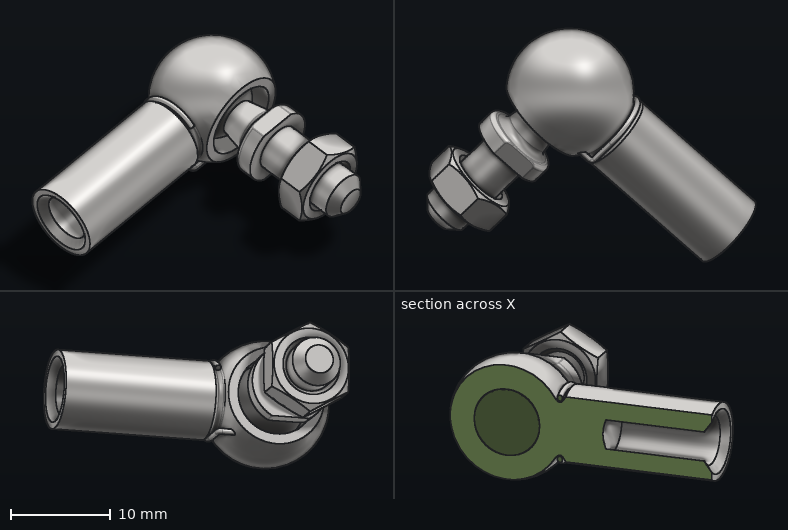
import cadquery as cq
import math


head_radius = 6.4
shank_radius = 4.0
shank_end = 21.94
shank_start = 6.3
mouth_x = 4.0
bore_radius = 2.5
bore_depth = 11.35
bore_rim_radius = 3.32
bore_chamfer_depth = 0.82
drill_point_angle = 118.0
neck_edge_radius = 3.68
groove_edge_radius = 3.57
groove_radius = 0.355

wire_radius = 0.298
clip_radius = 3.812
clip_y = -5.67
clip_start_angle = 47.0
clip_leg_x = 2.75
clip_bend_radius = 0.3
clip_leg_end_y = -2.83

ball_radius = 4.0
neck_ball_radius = 1.98
neck_end_radius = 2.5
neck_end_x = 6.12
flange_start_x = 7.0
flange_end_x = 9.0
flange_radius = 4.0
flange_across_flats = 6.97
flange_rounding = 0.45
flat_edge_rounding = 0.15
flange_fillet_radius = 3.3
thread_radius = 2.5
stud_end_x = 19.13
stud_chamfer = 1.05

nut_start_x = 12.9
nut_thickness = 3.37
nut_across_flats = 8.0
nut_face_radius = 3.88
nut_chamfer_angle = 30.0
nut_countersink_radius = 2.95


def make_clip_wire():
    """Wire around the neck with a straight tangent run and an end bent into the head."""
    start = math.radians(clip_start_angle)
    middle = (start + 1.5 * math.pi) / 2
    bend_start_x = clip_leg_x - clip_bend_radius
    bend_end_y = clip_y + clip_bend_radius
    bend_offset = clip_bend_radius * math.sin(math.radians(45))

    def ring_point(angle):
        return cq.Vector(clip_radius * math.cos(angle), clip_y, clip_radius * math.sin(angle))

    def leg_point(x, y):
        return cq.Vector(x, y, -clip_radius)

    bend_middle = leg_point(bend_start_x + bend_offset, bend_end_y - bend_offset)
    path = cq.Wire.assembleEdges([
        cq.Edge.makeThreePointArc(ring_point(start), ring_point(middle), leg_point(0, clip_y)),
        cq.Edge.makeLine(leg_point(0, clip_y), leg_point(bend_start_x, clip_y)),
        cq.Edge.makeThreePointArc(
            leg_point(bend_start_x, clip_y), bend_middle, leg_point(clip_leg_x, bend_end_y)
        ),
        cq.Edge.makeLine(leg_point(clip_leg_x, bend_end_y), leg_point(clip_leg_x, clip_leg_end_y)),
    ])
    start_direction = cq.Vector(-math.sin(start), 0, math.cos(start))
    section_plane = cq.Plane(origin=ring_point(start), xDir=(0, 1, 0), normal=start_direction)
    return cq.Workplane(section_plane).circle(wire_radius).sweep(path)


def make_socket_body():
    """Spherical head, grooved neck and cylindrical shank turned about the Y axis."""
    neck_edge_y = -math.sqrt(head_radius**2 - neck_edge_radius**2)
    groove_bottom = clip_radius - groove_radius
    groove_half_width = math.sqrt(groove_radius**2 - (clip_radius - groove_edge_radius)**2)
    return (
        cq.Workplane("XY")
        .moveTo(0, head_radius)
        .threePointArc((head_radius, 0), (neck_edge_radius, neck_edge_y))
        .lineTo(groove_edge_radius, clip_y + groove_half_width)
        .threePointArc((groove_bottom, clip_y), (groove_edge_radius, clip_y - groove_half_width))
        .lineTo(shank_radius, -shank_start)
        .lineTo(shank_radius, -shank_end)
        .lineTo(0, -shank_end)
        .close()
        .revolve(360, (0, 0), (0, 1))
    )


def make_bore():
    """Chamfered blind bore with a conical drill point, along the shank axis."""
    point_length = bore_radius / math.tan(math.radians(drill_point_angle / 2))
    bore_end_y = bore_depth - shank_end
    return (
        cq.Workplane("XY")
        .moveTo(0, -shank_end)
        .lineTo(bore_rim_radius, -shank_end)
        .lineTo(bore_radius, bore_chamfer_depth - shank_end)
        .lineTo(bore_radius, bore_end_y)
        .lineTo(0, bore_end_y + point_length)
        .close()
        .revolve(360, (0, 0), (0, 1))
    )


def make_socket(clip):
    mouth_trim = cq.Workplane("XY").box(
        head_radius, 2 * head_radius, 2 * head_radius, centered=(False, True, True)
    ).translate((mouth_x, 0, 0))
    ball_seat = cq.Workplane("XY").sphere(ball_radius)
    mouth = cq.Workplane("YZ").circle(ball_radius).extrude(mouth_x)
    return (
        make_socket_body().cut(mouth_trim).cut(ball_seat).cut(mouth).cut(make_bore()).cut(clip)
    )


def make_stud():
    """Ball, tapered neck, flange with two wrench flats, and threaded shank."""
    neck_start_x = math.sqrt(ball_radius**2 - neck_ball_radius**2)
    diagonal = math.sin(math.radians(45))
    fillet_length = flange_start_x - neck_end_x
    fillet_height = flange_fillet_radius - neck_end_radius
    fillet_middle = (
        neck_end_x + fillet_length * diagonal,
        flange_fillet_radius - fillet_height * diagonal,
    )
    rounding_inset = flange_rounding * (1 - diagonal)
    turned = (
        cq.Workplane("XY")
        .moveTo(-ball_radius, 0)
        .threePointArc((0, ball_radius), (neck_start_x, neck_ball_radius))
        .lineTo(neck_end_x, neck_end_radius)
        .threePointArc(fillet_middle, (flange_start_x, flange_fillet_radius))
        .lineTo(flange_start_x, flange_radius - flange_rounding)
        .threePointArc(
            (flange_start_x + rounding_inset, flange_radius - rounding_inset),
            (flange_start_x + flange_rounding, flange_radius),
        )
        .lineTo(flange_end_x, flange_radius)
        .lineTo(flange_end_x, thread_radius)
        .lineTo(stud_end_x - stud_chamfer, thread_radius)
        .lineTo(stud_end_x, thread_radius - stud_chamfer)
        .lineTo(stud_end_x, 0)
        .close()
        .revolve(360, (0, 0), (1, 0))
    )
    flat_cutter = cq.Workplane("XY").box(
        flange_end_x - neck_end_x, 2 * flange_radius, flange_radius, centered=(False, True, False)
    ).translate((neck_end_x, 0, flange_across_flats / 2))
    stud_with_flats = turned.cut(flat_cutter).cut(flat_cutter.mirror("XY"))
    rear_edge = cq.selectors.BoxSelector(
        (flange_end_x - 0.03, -flange_radius, -flange_radius),
        (flange_end_x + 0.03, flange_radius, flange_radius),
    )
    flat_faces = stud_with_flats.faces("<Z or >Z")
    return flat_faces.edges(cq.selectors.SubtractSelector(cq.Selector(), rear_edge)).fillet(
        flat_edge_rounding
    )


def make_nut():
    """Hexagon nut with corners towards +Z and -Z, chamfered at both faces."""
    corner_radius = nut_across_flats / math.sqrt(3)
    chamfer_length = (corner_radius - nut_face_radius) * math.tan(math.radians(nut_chamfer_angle))
    countersink_depth = nut_countersink_radius - thread_radius
    nut_end_x = nut_start_x + nut_thickness
    hexagon = (
        cq.Workplane("YZ", origin=(nut_start_x, 0, 0))
        .transformed(rotate=(0, 0, 90))
        .polygon(6, 2 * corner_radius)
        .extrude(nut_thickness)
    )
    turned_section = (
        cq.Workplane("XY")
        .moveTo(nut_start_x, nut_countersink_radius)
        .lineTo(nut_start_x, nut_face_radius)
        .lineTo(nut_start_x + chamfer_length, corner_radius)
        .lineTo(nut_end_x - chamfer_length, corner_radius)
        .lineTo(nut_end_x, nut_face_radius)
        .lineTo(nut_end_x, nut_countersink_radius)
        .lineTo(nut_end_x - countersink_depth, thread_radius)
        .lineTo(nut_start_x + countersink_depth, thread_radius)
        .close()
        .revolve(360, (0, 0), (1, 0))
    )
    return hexagon.intersect(turned_section)


clip = make_clip_wire()
socket = make_socket(clip)
stud = make_stud()
nut = make_nut()

result = cq.Compound.makeCompound([
    *socket.solids().vals(),
    *clip.solids().vals(),
    *stud.solids().vals(),
    *nut.solids().vals(),
])